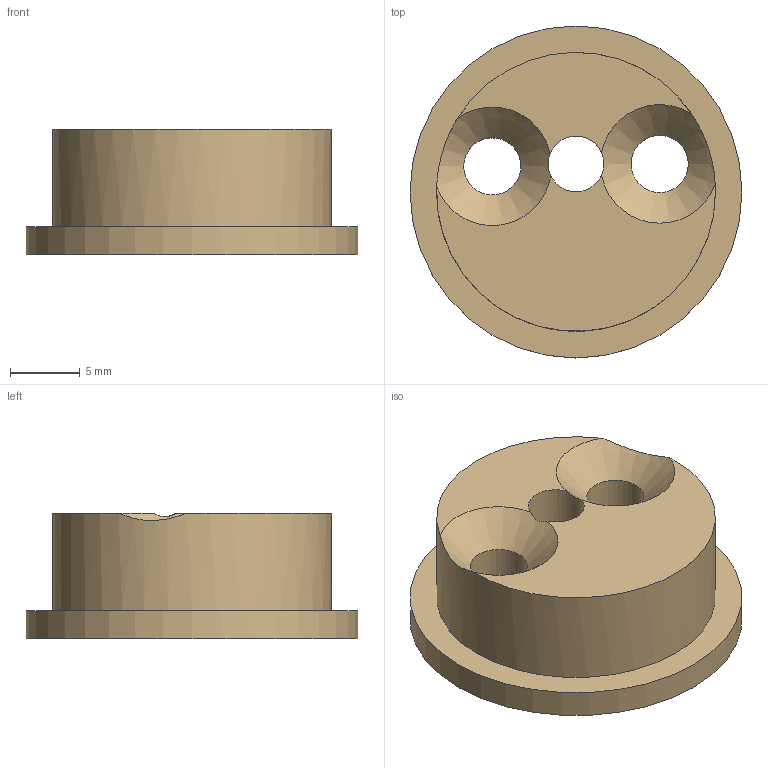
import cadquery as cq

FLANGE_DIAMETER = 23.8
FLANGE_THICKNESS = 2.0
BOSS_DIAMETER = 20.0
TOTAL_HEIGHT = 9.0

CENTRE_HOLE_DIAMETER = 4.0
HOLE_ROW_Y = 2.0

SCREW_HOLE_DIAMETER = 4.1
SCREW_HOLE_X = 6.0
LEFT_SCREW_HOLE_Y = 1.83
COUNTERSINK_DIAMETER = 8.5
COUNTERSINK_ANGLE = 90.0


def make_body():
    """Round boss standing on a wider, thin flange; the base lies on Z = 0."""
    flange = cq.Workplane("XY").circle(FLANGE_DIAMETER / 2).extrude(FLANGE_THICKNESS)
    boss = cq.Workplane("XY").circle(BOSS_DIAMETER / 2).extrude(TOTAL_HEIGHT)
    return flange.union(boss)


def top_plane():
    """Workplane on the top face, centred on the part axis."""
    return cq.Workplane("XY", origin=(0, 0, TOTAL_HEIGHT))


def cut_centre_hole(body):
    """Plain through hole between the two screw holes."""
    hole = top_plane().center(0, HOLE_ROW_Y).circle(CENTRE_HOLE_DIAMETER / 2).extrude(-TOTAL_HEIGHT)
    return body.cut(hole)


def cut_screw_holes(body):
    """Countersunk through holes whose cones break out through the boss wall."""
    centres = [(-SCREW_HOLE_X, LEFT_SCREW_HOLE_Y), (SCREW_HOLE_X, HOLE_ROW_Y)]
    return (
        body.copyWorkplane(top_plane())
        .pushPoints(centres)
        .cskHole(SCREW_HOLE_DIAMETER, COUNTERSINK_DIAMETER, COUNTERSINK_ANGLE)
    )


result = cut_screw_holes(cut_centre_hole(make_body()))